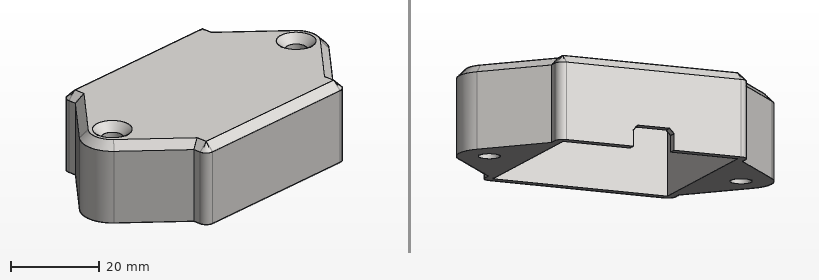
import cadquery as cq
import math

total_length = 76.95
case_width = 44.0
case_length = 47.0
height = 20.0
wall = 2.0
top_chamfer = 2.0
corner_radius = 2.0

ear_hole_y = 31.0
ear_radius = total_length / 2 - ear_hole_y
hole_diameter = 5.0
countersink_diameter = 9.0
countersink_angle = 90

opening_width = 10.0
opening_height = 5.0
opening_chamfer = 1.15


def make_case():
    """Rectangular box whose rounded corners run to a point at the top chamfer."""
    inner_width = case_width - 2 * corner_radius
    inner_length = case_length - 2 * corner_radius
    along_y = (
        cq.Workplane("XY").box(case_width, inner_length, height, centered=(True, True, False))
        .faces(">Z").edges("|Y").chamfer(top_chamfer)
    )
    along_x = (
        cq.Workplane("XY").box(inner_width, case_length, height, centered=(True, True, False))
        .faces(">Z").edges("|X").chamfer(top_chamfer)
    )
    corner_post = (
        cq.Workplane("XZ")
        .polyline([(0, 0), (corner_radius, 0), (corner_radius, height - top_chamfer), (0, height)])
        .close()
        .revolve(360, (0, 0), (0, 1))
    )
    case = along_y.union(along_x)
    for side_x in (-1, 1):
        for side_y in (-1, 1):
            case = case.union(corner_post.translate((side_x * inner_width / 2, side_y * inner_length / 2, 0)))
    return case


def make_ears():
    """Lozenge with round tips and 45 degree flanks, holding both screw ears."""
    tangent_offset = ear_radius * math.sin(math.radians(45))
    tangent_y = ear_hole_y + tangent_offset
    flank_x = case_width / 2 - top_chamfer
    flank_y = tangent_y - (flank_x - tangent_offset)
    return (
        cq.Workplane("XY")
        .moveTo(flank_x, -flank_y)
        .lineTo(flank_x, flank_y)
        .lineTo(tangent_offset, tangent_y)
        .threePointArc((0, total_length / 2), (-tangent_offset, tangent_y))
        .lineTo(-flank_x, flank_y)
        .lineTo(-flank_x, -flank_y)
        .lineTo(-tangent_offset, -tangent_y)
        .threePointArc((0, -total_length / 2), (tangent_offset, -tangent_y))
        .close()
        .extrude(height)
        .faces(">Z").edges().chamfer(top_chamfer)
    )


def make_cavity():
    """Space inside the case, open at the bottom; the ears stay solid."""
    return cq.Workplane("XY").box(
        case_width - 2 * wall, case_length - 2 * wall, height - wall, centered=(True, True, False)
    )


def make_opening():
    """Cable opening with chamfered upper corners, through the -X wall only."""
    return (
        cq.Workplane("XY")
        .box(2 * wall, opening_width, opening_height, centered=(True, True, False))
        .faces(">Z").edges("|X").chamfer(opening_chamfer)
        .translate((-case_width / 2, 0, 0))
    )


result = make_case().union(make_ears()).cut(make_cavity()).cut(make_opening())
result = (
    result.faces(">Z").workplane(origin=(0, 0, height))
    .pushPoints([(0, -ear_hole_y), (0, ear_hole_y)])
    .cskHole(hole_diameter, countersink_diameter, countersink_angle)
)